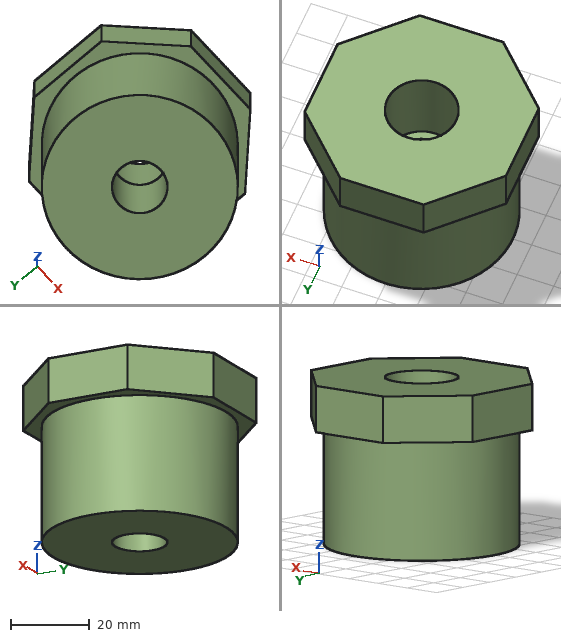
import cadquery as cq
import math

head_sides = 8
across_flats = 55.0
total_height = 43.0
head_height = 12.0
spigot_diameter = 49.85
socket_diameter = 18.7
socket_depth = 22.0
bore_diameter = 14.1

spigot_height = total_height - head_height
across_corners = across_flats / math.cos(math.pi / head_sides)
half_side_angle = 180.0 / head_sides

spigot = cq.Workplane("XY").circle(spigot_diameter / 2).extrude(spigot_height)

head = (
    cq.Workplane("XY")
    .workplane(offset=spigot_height)
    .transformed(rotate=(0, 0, half_side_angle))
    .polygon(head_sides, across_corners)
    .extrude(head_height)
)

result = (
    spigot.union(head)
    .faces(">Z")
    .workplane(origin=(0, 0, total_height))
    .cboreHole(bore_diameter, socket_diameter, socket_depth)
)